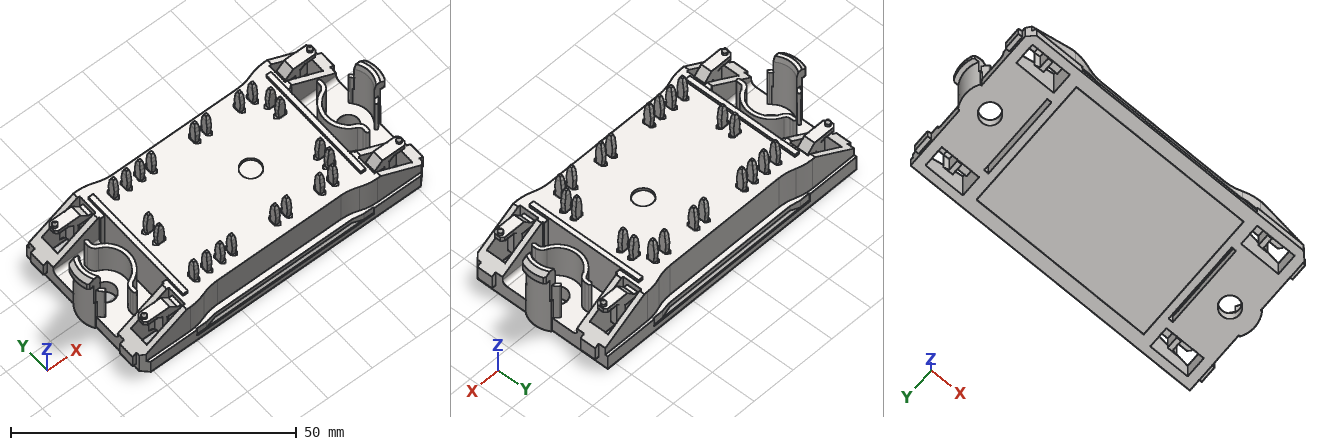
import cadquery as cq
import math

LENGTH = 68.4
WIDTH = 32.5

FLANGE_BOTTOM = 0.17
FLANGE_TOP = 3.5
BODY_TOP = 11.15
PIN_TOP = 16.2
ROOT_DEPTH = 0.7

END_X = 32.0
FLANGE_Y = WIDTH / 2
BODY_Y = 15.65
WAIST_Y = 14.35
WAIST_START_X = 21.2
WAIST_END_X = 14.0
CORNER_CHAMFER = 1.45

END_WALL_TOP = 5.2
SLOPE_TOP_X = 21.95

PLATE_X = 19.15
PLATE_Y = 13.55
PLATE_OVERLAP = 0.35

RECESS_X = 20.05
RECESS_RAMP_X = 17.8
RECESS_DEEP_X = 15.45
RECESS_SHALLOW_Y = 16.0
RECESS_DEEP_Y = 15.6
RECESS_SHELF_Z = 1.65
RECESS_SHELF_INNER_Z = 2.3

CHANNEL_Y = 8.9
CHANNEL_FILLET = 1.0
CHANNEL_X = 20.65
SLOT_X = 21.6
SLOT_Y = 8.55

POCKET_OUTER_X = 30.0
POCKET_INNER_X = 21.5
POCKET_Y = 12.3
POCKET_WIDTH = 4.4

HOLE_X = 27.5
HOLE_DIAMETER = 4.3
DIMPLE_X = 5.4
DIMPLE_DEPTH = 0.6

TAB_OUT = 0.9
TAB_BOTTOM = 1.7
TAB_WIDTH = 3.5

RIDGE_WIDTH = 1.1
RIDGE_LENGTH = 26.1
RIDGE_HEIGHT = 0.6

BARRIER_RADIUS = 5.05
BARRIER_THICK = 0.8
BARRIER_TOP = 10.75
BARRIER_END_RADIUS = 1.4
BARRIER_END_X = 26.3
BARRIER_END_Y = 6.65

CLIP_INNER_R = 4.5
CLIP_OUTER_R = 5.7
CLIP_LIP_R = LENGTH / 2 - HOLE_X
CLIP_HALF_WIDTH = 2.8
CLIP_FOOT_HALF_WIDTH = 3.0
CLIP_FOOT_TOP = 8.15
CLIP_TOP = 15.9
CLIP_INNER_BEVEL = 0.35
CLIP_BEVEL_BOTTOM = 14.7
LIP_BOTTOM = 13.5
LIP_BEVEL = 0.8
LIP_EDGE_TOP = 15.05
EAR_RADIUS = 4.9
EAR_THICK = 0.7
EAR_TOP = 11.75
EAR_ANGLE = 47

ARM_TIP_X = 29.6
ARM_BEND_X = 24.1
ARM_TOP = 11.55
ARM_THICK = 0.95
ARM_WIDTH = 2.45
ARM_TIP_CHAMFER = 0.55
ARM_ROOT_DROP = 1.8
GUSSET_DROP = 0.9
LEG_OUTER_X = 25.65
LEG_INNER_X = 24.6
LEG_RIB_X = 26.75
LEG_RIB_THICK = 0.3
BUMP_X = 28.85
BUMP_DIAMETER = 1.1
BUMP_TIP_DIAMETER = 0.3
BUMP_HEIGHT = 0.55
BUMP_CONE = 0.6

PIN_SLOT_LENGTH = 2.6
PIN_SLOT_WIDTH = 1.2
PIN_SLOT_DEPTH = 0.35
PIN_FOOT = BODY_TOP - 2 * PIN_SLOT_DEPTH
PIN_TIP_HALF = 0.3
PIN_SWELL = [(0.7, PIN_FOOT), (0.7, 11.8), (0.8, 13.3), (0.7, 14.3), (0.55, 15.4), (PIN_TIP_HALF, PIN_TOP)]
PIN_EDGE = [(0.5, PIN_FOOT), (0.5, 15.25), (PIN_TIP_HALF, PIN_TOP)]
ROW_PIN_Y = 11.1
ROW_PIN_X = [-16.6, -13.7, -10.7, -8.1, 1.8, 4.4, 11.9, 14.85]
END_PIN_X = 16.55
LEFT_PIN_Y = [1.5, -1.45]
RIGHT_PIN_Y = [8.15, 5.55, -5.55, -8.1]


def block(x0, x1, y0, y1, z0, z1):
    return cq.Workplane("XY").box(x1 - x0, y1 - y0, z1 - z0, centered=False).translate((x0, y0, z0))


def prism(points, z0, z1):
    return cq.Workplane("XY").workplane(offset=z0).polyline(points).close().extrude(z1 - z0)


def both_sides(shape):
    """The shape and its mirror image across Y = 0."""
    return shape.union(shape.mirror("XZ"))


def make_flange():
    flange = block(-END_X, END_X, -FLANGE_Y, FLANGE_Y, FLANGE_BOTTOM, FLANGE_TOP)
    recess_plan = [
        (-RECESS_X, FLANGE_Y),
        (-RECESS_X, RECESS_SHALLOW_Y),
        (-RECESS_RAMP_X, RECESS_SHALLOW_Y),
        (-RECESS_DEEP_X, RECESS_DEEP_Y),
        (RECESS_DEEP_X, RECESS_DEEP_Y),
        (RECESS_RAMP_X, RECESS_SHALLOW_Y),
        (RECESS_X, RECESS_SHALLOW_Y),
        (RECESS_X, FLANGE_Y),
    ]
    recess_side = [
        (FLANGE_Y, RECESS_SHELF_Z),
        (RECESS_SHALLOW_Y, RECESS_SHELF_Z),
        (RECESS_DEEP_Y, RECESS_SHELF_INNER_Z),
        (RECESS_DEEP_Y, FLANGE_TOP),
        (FLANGE_Y, FLANGE_TOP),
    ]
    sloped = cq.Workplane("YZ").polyline(recess_side).close().extrude(RECESS_X, both=True)
    recess = prism(recess_plan, RECESS_SHELF_Z, FLANGE_TOP).intersect(sloped)
    return flange.cut(both_sides(recess))


def make_body():
    mid_x = (WAIST_START_X + WAIST_END_X) / 2
    mid_y = (BODY_Y + WAIST_Y) / 2
    half_plan = (
        cq.Workplane("XY").workplane(offset=FLANGE_BOTTOM)
        .moveTo(-END_X, 0)
        .lineTo(-END_X, BODY_Y)
        .lineTo(-WAIST_START_X, BODY_Y)
        .tangentArcPoint((-mid_x, mid_y), relative=False)
        .tangentArcPoint((-WAIST_END_X, WAIST_Y), relative=False)
        .lineTo(WAIST_END_X, WAIST_Y)
        .tangentArcPoint((mid_x, mid_y), relative=False)
        .tangentArcPoint((WAIST_START_X, BODY_Y), relative=False)
        .lineTo(END_X, BODY_Y)
        .lineTo(END_X, 0)
        .close()
        .extrude(BODY_TOP - FLANGE_BOTTOM)
    )
    side = [
        (-END_X, FLANGE_BOTTOM),
        (-END_X, END_WALL_TOP),
        (-SLOPE_TOP_X, BODY_TOP),
        (SLOPE_TOP_X, BODY_TOP),
        (END_X, END_WALL_TOP),
        (END_X, FLANGE_BOTTOM),
    ]
    sloped = cq.Workplane("XZ").polyline(side).close().extrude(FLANGE_Y, both=True)
    return both_sides(half_plan).intersect(sloped)


def make_plate():
    return block(-PLATE_X, PLATE_X, -PLATE_Y, PLATE_Y, 0, FLANGE_BOTTOM + PLATE_OVERLAP)


def make_end_openings():
    channel = block(-END_X - TAB_OUT, -SLOT_X, -CHANNEL_Y, CHANNEL_Y, FLANGE_TOP, BODY_TOP)
    channel = channel.edges("|X and <Z").fillet(CHANNEL_FILLET)
    slot = block(-SLOT_X, -CHANNEL_X, -SLOT_Y, SLOT_Y, 0, BODY_TOP)
    pocket = block(
        -POCKET_OUTER_X, -POCKET_INNER_X,
        POCKET_Y - POCKET_WIDTH / 2, POCKET_Y + POCKET_WIDTH / 2,
        0, BODY_TOP,
    )
    hole = cq.Workplane("XY").center(-HOLE_X, 0).circle(HOLE_DIAMETER / 2).extrude(BODY_TOP)
    corner = prism(
        [
            (-END_X, -FLANGE_Y),
            (-END_X, -FLANGE_Y + CORNER_CHAMFER),
            (-END_X + CORNER_CHAMFER, -FLANGE_Y),
        ],
        0, BODY_TOP,
    )
    return channel.union(slot).union(both_sides(pocket)).union(hole).union(corner)


def make_tabs():
    slope = (BODY_TOP - END_WALL_TOP) / (END_X - SLOPE_TOP_X)
    side = [
        (-END_X, TAB_BOTTOM),
        (-END_X - TAB_OUT, TAB_BOTTOM),
        (-END_X - TAB_OUT, END_WALL_TOP - slope * TAB_OUT),
        (-END_X, END_WALL_TOP),
    ]
    tab = cq.Workplane("XZ").polyline(side).close().extrude(TAB_WIDTH / 2, both=True)
    return both_sides(tab.translate((0, POCKET_Y, 0)))


def make_ridge():
    return block(
        -CHANNEL_X, -CHANNEL_X + RIDGE_WIDTH,
        -RIDGE_LENGTH / 2, RIDGE_LENGTH / 2,
        BODY_TOP - RIDGE_HEIGHT, BODY_TOP + RIDGE_HEIGHT,
    )


def make_barrier():
    end_center_x = -BARRIER_END_X + BARRIER_END_RADIUS
    offset_x = end_center_x + HOLE_X
    center_distance = BARRIER_RADIUS + BARRIER_END_RADIUS
    end_center_y = math.sqrt(center_distance ** 2 - offset_x ** 2)
    share = BARRIER_RADIUS / center_distance
    join_x = -HOLE_X + offset_x * share
    join_y = end_center_y * share
    path = (
        cq.Workplane("XY").workplane(offset=FLANGE_TOP - ROOT_DEPTH)
        .moveTo(-BARRIER_END_X, -BARRIER_END_Y)
        .lineTo(-BARRIER_END_X, -end_center_y)
        .tangentArcPoint((join_x, -join_y), relative=False)
        .threePointArc((-HOLE_X + BARRIER_RADIUS, 0), (join_x, join_y))
        .tangentArcPoint((-BARRIER_END_X, end_center_y), relative=False)
        .lineTo(-BARRIER_END_X, BARRIER_END_Y)
    )
    return path.offset2D(BARRIER_THICK / 2).extrude(BARRIER_TOP - FLANGE_TOP + ROOT_DEPTH)


def make_clip():
    profile = [
        (CLIP_INNER_R, FLANGE_BOTTOM),
        (CLIP_OUTER_R, FLANGE_BOTTOM),
        (CLIP_OUTER_R, LIP_BOTTOM),
        (CLIP_LIP_R, LIP_BOTTOM),
        (CLIP_LIP_R, LIP_EDGE_TOP),
        (CLIP_OUTER_R, CLIP_TOP),
        (CLIP_INNER_R + CLIP_INNER_BEVEL, CLIP_TOP),
        (CLIP_INNER_R, CLIP_BEVEL_BOTTOM),
    ]
    ring = cq.Workplane("XZ").polyline(profile).close().revolve(360, (0, 0), (0, 1))
    ring = ring.translate((-HOLE_X, 0, 0))
    outer_x = -HOLE_X - CLIP_LIP_R
    blade = block(outer_x, -HOLE_X, -CLIP_HALF_WIDTH, CLIP_HALF_WIDTH, 0, CLIP_TOP)
    blade = blade.edges("|Z and <X").chamfer(LIP_BEVEL)
    foot = block(
        -HOLE_X - CLIP_OUTER_R, -HOLE_X,
        -CLIP_FOOT_HALF_WIDTH, CLIP_FOOT_HALF_WIDTH,
        0, CLIP_FOOT_TOP,
    )
    return ring.intersect(blade.union(foot)).union(make_clip_ears())


def make_clip_ears():
    end_x = -HOLE_X - EAR_RADIUS * math.cos(math.radians(EAR_ANGLE))
    end_y = EAR_RADIUS * math.sin(math.radians(EAR_ANGLE))
    path = (
        cq.Workplane("XY").workplane(offset=FLANGE_TOP - ROOT_DEPTH)
        .moveTo(end_x, -end_y)
        .threePointArc((-HOLE_X - EAR_RADIUS, 0), (end_x, end_y))
    )
    return path.offset2D(EAR_THICK / 2).extrude(EAR_TOP - FLANGE_TOP + ROOT_DEPTH)


def make_arm():
    half_width = ARM_WIDTH / 2
    underside = ARM_TOP - ARM_THICK
    side = [
        (-ARM_TIP_X, underside),
        (-ARM_TIP_X, ARM_TOP),
        (-ARM_BEND_X, ARM_TOP),
        (-ARM_BEND_X + ARM_ROOT_DROP, ARM_TOP - ARM_ROOT_DROP),
        (-CHANNEL_X, ARM_TOP - ARM_ROOT_DROP),
        (-CHANNEL_X, underside - ARM_ROOT_DROP),
        (-LEG_INNER_X, underside - ARM_ROOT_DROP),
        (-LEG_OUTER_X, underside - GUSSET_DROP),
        (-LEG_RIB_X, underside),
    ]
    arm = cq.Workplane("XZ").polyline(side).close().extrude(half_width, both=True)
    arm = arm.edges("|Z and <X").chamfer(ARM_TIP_CHAMFER)
    leg = block(-LEG_OUTER_X, -LEG_INNER_X, -half_width, half_width, FLANGE_TOP, ARM_TOP)
    rib = prism(
        [(-LEG_RIB_X, half_width), (-LEG_OUTER_X, half_width), (-LEG_OUTER_X, half_width - LEG_RIB_THICK)],
        FLANGE_TOP, ARM_TOP,
    )
    bump = (
        cq.Workplane("XY", origin=(-BUMP_X, 0, ARM_TOP))
        .circle(BUMP_DIAMETER / 2)
        .extrude(BUMP_HEIGHT)
        .faces(">Z").workplane()
        .circle(BUMP_DIAMETER / 2)
        .workplane(offset=BUMP_CONE)
        .circle(BUMP_TIP_DIAMETER / 2)
        .loft()
    )
    return arm.union(leg).union(rib).union(bump)


def make_pin(x, y, along_x):
    """A pin with its wide, swelling side along X or along Y, and the slot round its foot."""

    def plate(plane, half):
        outline = half + [(-u, z) for u, z in reversed(half)]
        return cq.Workplane(plane).polyline(outline).close().extrude(PIN_SLOT_LENGTH, both=True)

    pin = plate("XZ", PIN_SWELL).intersect(plate("YZ", PIN_EDGE))
    slot = (
        cq.Workplane("XY").workplane(offset=BODY_TOP - PIN_SLOT_DEPTH)
        .slot2D(PIN_SLOT_LENGTH, PIN_SLOT_WIDTH)
        .extrude(PIN_SLOT_DEPTH)
    )
    angle = 0 if along_x else 90
    return [shape.rotate((0, 0, 0), (0, 0, 1), angle).translate((x, y, 0)) for shape in (pin, slot)]


pin_places = [(x, side * ROW_PIN_Y, False) for x in ROW_PIN_X for side in (1, -1)]
pin_places += [(-END_PIN_X, y, True) for y in LEFT_PIN_Y]
pin_places += [(END_PIN_X, y, True) for y in RIGHT_PIN_Y]

result = make_flange().union(make_body()).union(make_plate())

openings = make_end_openings()
result = result.cut(openings).cut(openings.mirror("YZ"))

arm = make_arm()
end_parts = make_tabs().union(make_ridge()).union(make_barrier()).union(make_clip())
for side in (1, -1):
    end_parts = end_parts.union(arm.translate((0, side * POCKET_Y, 0)))
result = result.union(end_parts).union(end_parts.mirror("YZ"))

dimple = (
    cq.Workplane("XY", origin=(DIMPLE_X, 0, BODY_TOP - DIMPLE_DEPTH))
    .circle(HOLE_DIAMETER / 2)
    .extrude(DIMPLE_DEPTH)
)
result = result.cut(dimple)

for place in pin_places:
    pin, slot = make_pin(*place)
    result = result.cut(slot).union(pin)